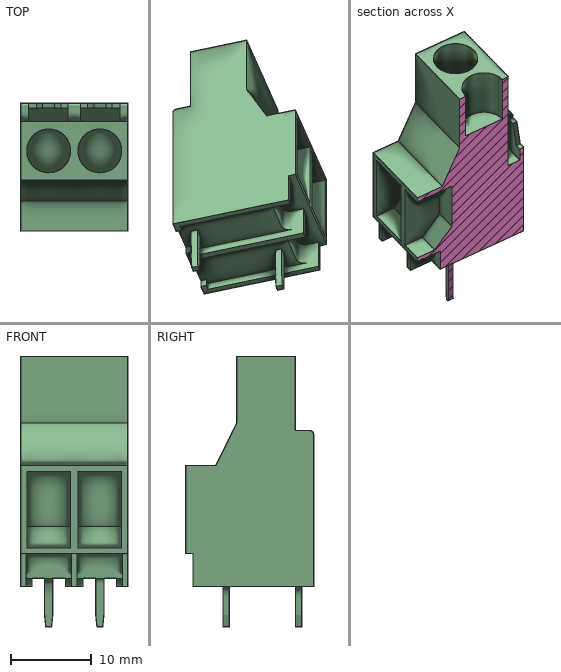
import cadquery as cq


WIDTH = 13.3
DEPTH = 15.85
HEIGHT = 33.5
PITCH = 6.33
BASE_Z = 5.0
SKIRT_Y = 0.87
SKIRT_TOP_Z = 9.08
LEDGE_Z = 20.0
LEDGE_DEPTH = 3.72
SLOPE_TOP_Z = 25.23
TOWER_FRONT_Y = 6.3
TOWER_BACK_Y = 13.57
REAR_Z = 24.32
REAR_ROUND = 0.5

SCREW_DIAMETER = 5.43
SCREW_DEPTH = 6.7
SCREW_Y = (TOWER_FRONT_Y + TOWER_BACK_Y) / 2

ENTRY_WIDTH = 5.43
ENTRY_FLOOR_Z = 9.78
ENTRY_RAMP_TOP_Z = 12.43
ENTRY_TOP_Z = 19.23
ENTRY_FLOOR_DEPTH = 2.58
ENTRY_DEPTH = 5.15

RECESS_WIDTH = 5.6
RECESS_CORNER = 1.0
RECESS_BACK_Y = 3.42
UNDERSIDE_Z = 6.0
REAR_WALL = 0.7
REAR_SLOT_WIDTH = 4.12

POCKET_WIDTH = 4.9
POCKET_PITCH = 6.4
POCKET_FLOOR_Z = 18.42
PANEL_THICKNESS = 0.6
PANEL_TOP_Z = 23.45
NOTCH_FLOOR_Z = 20.3
NOTCH_TOP_WIDTH = 3.0
NOTCH_FLOOR_WIDTH = 1.47

PIN_WIDTH = 1.05
PIN_TIP_WIDTH = 0.75
PIN_THICKNESS = 0.8
PIN_TAPER_Z = 1.47
FRONT_PIN_Y = 5.0
REAR_PIN_Y = 13.97

SIDES = (-1, 1)


def box(x_center, x_size, y_start, y_end, z_start, z_end):
    """Block centred on x_center, between the given Y and Z limits."""
    return cq.Workplane("XY").box(
        x_size, y_end - y_start, z_end - z_start, centered=(True, False, False)
    ).translate((x_center, y_start, z_start))


def extrude_across(points, x_center, width):
    """Extrude a (Y, Z) outline along X, centred on x_center."""
    return cq.Workplane("YZ", origin=(x_center, 0, 0)).polyline(points).close().extrude(width / 2, both=True)


def housing_blank():
    outline = [
        (SKIRT_Y, BASE_Z),
        (DEPTH, BASE_Z),
        (DEPTH, REAR_Z),
        (TOWER_BACK_Y, REAR_Z),
        (TOWER_BACK_Y, HEIGHT),
        (TOWER_FRONT_Y, HEIGHT),
        (TOWER_FRONT_Y, SLOPE_TOP_Z),
        (LEDGE_DEPTH, LEDGE_Z),
        (0, LEDGE_Z),
        (0, SKIRT_TOP_Z),
        (SKIRT_Y, SKIRT_TOP_Z),
    ]
    blank = extrude_across(outline, 0, WIDTH)
    return blank.faces(">Y").edges(">Z").fillet(REAR_ROUND)


def screw_hole(x):
    hole = cq.Workplane("XY").circle(SCREW_DIAMETER / 2).extrude(SCREW_DEPTH)
    return hole.translate((x, SCREW_Y, HEIGHT - SCREW_DEPTH))


def wire_entry(x):
    """Wire funnel with a level floor that ramps up to its back wall."""
    outline = [
        (0, ENTRY_FLOOR_Z),
        (ENTRY_FLOOR_DEPTH, ENTRY_FLOOR_Z),
        (ENTRY_DEPTH, ENTRY_RAMP_TOP_Z),
        (ENTRY_DEPTH, ENTRY_TOP_Z),
        (0, ENTRY_TOP_Z),
    ]
    return extrude_across(outline, x, ENTRY_WIDTH)


def front_recess(x):
    """Recess under a wire entry, with rounded back corners."""
    recess = box(x, RECESS_WIDTH, SKIRT_Y, RECESS_BACK_Y, BASE_Z, SKIRT_TOP_Z)
    return recess.edges("|Z and >Y").fillet(RECESS_CORNER)


def underside_channel(x):
    """Channel along the underside, leaving through a narrower rear slot."""
    channel = box(x, RECESS_WIDTH, SKIRT_Y, DEPTH - REAR_WALL, BASE_Z, UNDERSIDE_Z)
    slot = box(x, REAR_SLOT_WIDTH, SKIRT_Y, DEPTH, BASE_Z, UNDERSIDE_Z)
    return channel.union(slot)


def rear_pocket(x, notch_x):
    """Pocket in the rear shoulder, sparing the notched rear panel."""
    panel_y = DEPTH - PANEL_THICKNESS
    pocket = box(x, POCKET_WIDTH, TOWER_BACK_Y, panel_y, POCKET_FLOOR_Z, REAR_Z)
    above_panel = box(x, POCKET_WIDTH, panel_y, DEPTH, PANEL_TOP_Z, REAR_Z)
    notch_outline = [
        (notch_x - NOTCH_TOP_WIDTH / 2, PANEL_TOP_Z),
        (notch_x - NOTCH_FLOOR_WIDTH / 2, NOTCH_FLOOR_Z),
        (notch_x + NOTCH_FLOOR_WIDTH / 2, NOTCH_FLOOR_Z),
        (notch_x + NOTCH_TOP_WIDTH / 2, PANEL_TOP_Z),
    ]
    notch = cq.Workplane("XZ", origin=(0, DEPTH, 0)).polyline(notch_outline).close().extrude(PANEL_THICKNESS)
    return pocket.union(above_panel).union(notch)


def make_housing():
    body = housing_blank()
    for side in SIDES:
        x = side * PITCH / 2
        body = body.cut(screw_hole(x))
        body = body.cut(wire_entry(x))
        body = body.cut(front_recess(x))
        body = body.cut(underside_channel(x))
        body = body.cut(rear_pocket(side * POCKET_PITCH / 2, x))
    return body


def make_pin(x, y):
    """Flat pin hanging from the channel roof, narrowing in X to its tip."""
    outline = [
        (-PIN_TIP_WIDTH / 2, 0),
        (PIN_TIP_WIDTH / 2, 0),
        (PIN_WIDTH / 2, PIN_TAPER_Z),
        (PIN_WIDTH / 2, UNDERSIDE_Z),
        (-PIN_WIDTH / 2, UNDERSIDE_Z),
        (-PIN_WIDTH / 2, PIN_TAPER_Z),
    ]
    pin = cq.Workplane("XZ").polyline(outline).close().extrude(PIN_THICKNESS / 2, both=True)
    return pin.translate((x, y, 0))


housing = make_housing()

pins = []
for side, pin_y in zip(SIDES, (REAR_PIN_Y, FRONT_PIN_Y)):
    pins.append(make_pin(side * PITCH / 2, pin_y))

result = cq.Compound.makeCompound([housing.val(), *[pin.val() for pin in pins]])